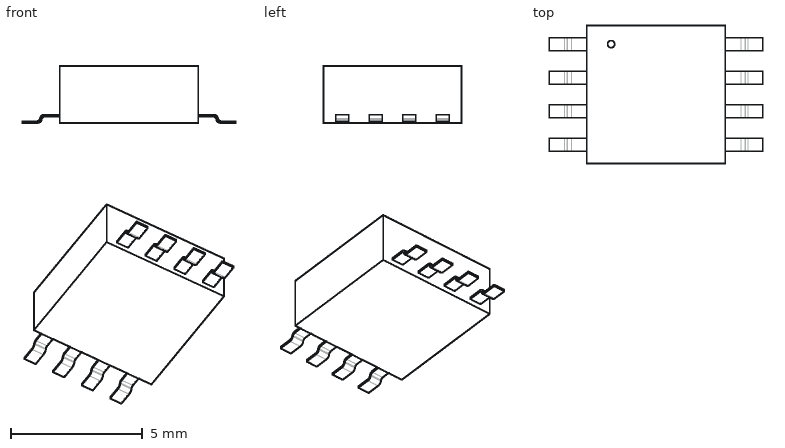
import cadquery as cq
import math

overall_length = 8.1
body_length = 5.25
body_width = 5.23
body_height = 2.16

lead_width = 0.5
lead_thickness = 0.077
lead_height = 0.315
lead_pitch = 1.27
leads_per_side = 4
foot_length = 0.575
bend_radius = 0.1
bend_angle = math.radians(75)

marker_diameter = 0.27
marker_depth = 0.04
marker_inset = 0.92

lead_rows = [(row - (leads_per_side - 1) / 2) * lead_pitch for row in range(leads_per_side)]
marker_x = marker_inset - body_length / 2
marker_y = lead_rows[-1]


def make_marker():
    """Disc showing pin 1, flush with the top of the body."""
    return (
        cq.Workplane("XY", origin=(marker_x, marker_y, body_height - marker_depth))
        .circle(marker_diameter / 2)
        .extrude(marker_depth)
    )


def make_body():
    """Plain block with a shallow recess that holds the marker."""
    block = cq.Workplane("XY").box(body_length, body_width, body_height, centered=(True, True, False))
    return block.cut(make_marker())


def make_lead(row_y):
    """Gull-wing lead on the -X side: flat foot, sloping riser between two bends, flat shoulder."""
    outer_radius = bend_radius + lead_thickness
    radius_sum = outer_radius + bend_radius
    rise = lead_height - lead_thickness
    riser_length = (rise - radius_sum * (1 - math.cos(bend_angle))) / math.sin(bend_angle)
    run = radius_sum * math.sin(bend_angle) + riser_length * math.cos(bend_angle)

    tip_x = -overall_length / 2
    root_x = -body_length / 2
    foot_x = tip_x + foot_length
    shoulder_x = foot_x + run
    foot_centre_z = lead_thickness + bend_radius
    shoulder_centre_z = lead_height - outer_radius

    def foot_bend(radius, angle):
        return foot_x + radius * math.sin(angle), foot_centre_z - radius * math.cos(angle)

    def shoulder_bend(radius, angle):
        return shoulder_x - radius * math.sin(angle), shoulder_centre_z + radius * math.cos(angle)

    half_angle = bend_angle / 2
    profile = (
        cq.Workplane("XZ", origin=(0, row_y + lead_width / 2, 0))
        .moveTo(tip_x, 0)
        .lineTo(*foot_bend(outer_radius, 0))
        .threePointArc(foot_bend(outer_radius, half_angle), foot_bend(outer_radius, bend_angle))
        .lineTo(*shoulder_bend(bend_radius, bend_angle))
        .threePointArc(shoulder_bend(bend_radius, half_angle), shoulder_bend(bend_radius, 0))
        .lineTo(root_x, lead_height - lead_thickness)
        .lineTo(root_x, lead_height)
        .lineTo(*shoulder_bend(outer_radius, 0))
        .threePointArc(shoulder_bend(outer_radius, half_angle), shoulder_bend(outer_radius, bend_angle))
        .lineTo(*foot_bend(bend_radius, bend_angle))
        .threePointArc(foot_bend(bend_radius, half_angle), foot_bend(bend_radius, 0))
        .lineTo(tip_x, lead_thickness)
        .close()
    )
    return profile.extrude(lead_width)


body = make_body()
marker = make_marker()

leads = []
for row_y in lead_rows:
    left_lead = make_lead(row_y)
    leads.append(left_lead.val())
    leads.append(left_lead.mirror("YZ").val())

result = cq.Compound.makeCompound([body.val(), marker.val(), *leads])